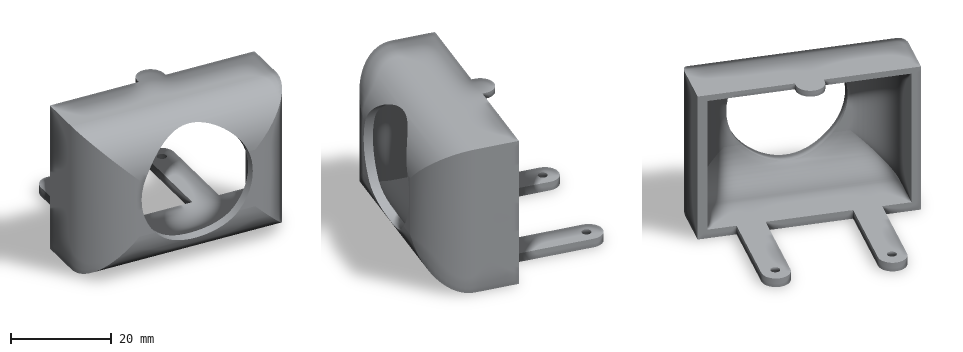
import cadquery as cq

width = 46.0
height = 33.0
straight_depth = 9.35
outer_radius = 10.0
depth = straight_depth + outer_radius
wall = 2.0
top_wall = 1.35

window_diameter = 25.0
window_rise = 1.75

strip_width = 6.0
arm_length = 22.15
arm_offset = 12.0
arm_hole_diameter = 2.0
arm_hole_inset = 3.45
tab_length = 3.7
wall_overlap = 0.9


def rounded_block(block_width, bottom, top, length, radius):
    """Block from X = 0 whose four +X edges curve in and meet at mitred corners."""
    block_height = top - bottom
    plan = (
        cq.Workplane("XY", origin=(0, 0, bottom))
        .center(length / 2, 0)
        .rect(length, block_width)
        .extrude(block_height)
        .edges("|Z and >X")
        .fillet(radius)
    )
    side = (
        cq.Workplane("XZ", origin=(0, block_width / 2, bottom))
        .center(length / 2, block_height / 2)
        .rect(length, block_height)
        .extrude(block_width)
        .edges("|Y and >X")
        .fillet(radius)
    )
    return plan.intersect(side)


def round_ended_strip(length, center_y, bottom, thickness):
    """Flat strip reaching -X from the housing wall, with a half-round tip."""
    half_width = strip_width / 2
    arc_start = half_width - length
    return (
        cq.Workplane("XY", origin=(0, center_y, bottom))
        .moveTo(wall_overlap, -half_width)
        .lineTo(arc_start, -half_width)
        .threePointArc((-length, 0), (arc_start, half_width))
        .lineTo(wall_overlap, half_width)
        .close()
        .extrude(thickness)
    )


housing = rounded_block(width, 0, height, depth, outer_radius)
cavity = rounded_block(width - 2 * wall, wall, height - top_wall, depth - wall, outer_radius - wall)
housing = housing.cut(cavity)

window = (
    cq.Workplane("YZ")
    .center(0, height / 2 + window_rise)
    .circle(window_diameter / 2)
    .extrude(depth)
)
housing = housing.cut(window)

for arm_y in (-arm_offset, arm_offset):
    arm_hole = (
        cq.Workplane("XY")
        .center(arm_hole_inset - arm_length, arm_y)
        .circle(arm_hole_diameter / 2)
        .extrude(wall)
    )
    arm = round_ended_strip(arm_length, arm_y, 0, wall).cut(arm_hole)
    housing = housing.union(arm)

tab = round_ended_strip(tab_length, 0, height - top_wall, top_wall)
result = housing.union(tab)